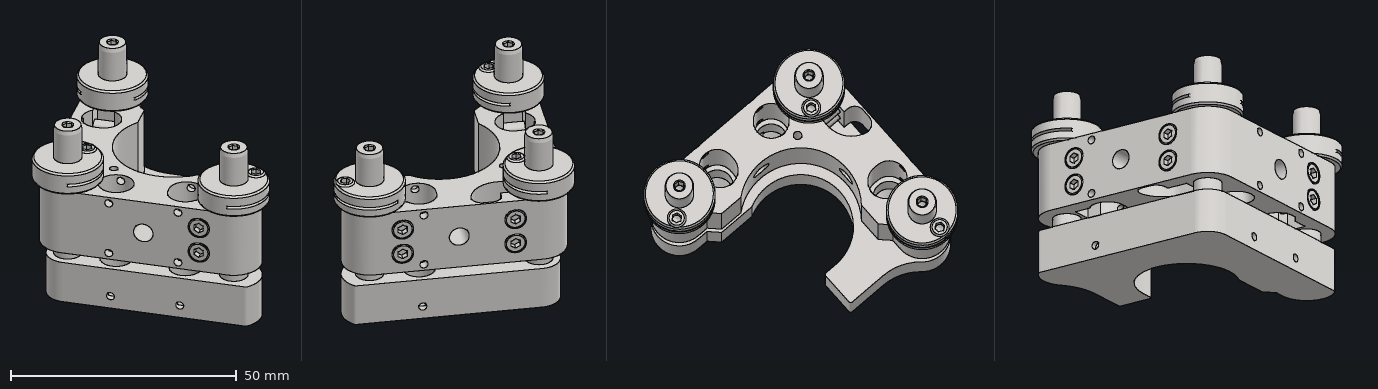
import cadquery as cq
import math

post_pitch = 38.1
mid_leg = post_pitch / 2
corner_post = (0, 0)
x_post = (post_pitch, 0)
y_post = (0, post_pitch)

plate_top = 10.05
block_bottom = 13.4
block_height = 15.75
block_top = block_bottom + block_height
block_mid = block_bottom + block_height / 2
knob_height = 5.25
knob_top = block_top + knob_height
post_top = 42.58

end_radius = 6.35
leg_inner = 8.65
leg_chamfer = leg_inner - end_radius
chamfer_start = 33.2

block_bore_radius = 13.45
spring_hole_radius = 3.97
spring_hole_stretch = 1.0
near_spring = mid_leg - 7.94
far_spring = mid_leg + 7.94
center_hole_dia = 4.45
dowel_hole_dia = 1.85
dowel_position = (8.87, 6.35)

slot_half_width = 2.41
slot_to_post = 4.0
pocket_left = -5.84
pocket_bottom = 9.08
pocket_corner_radius = 2.4
pocket_arc_radius = 6.95

clamp_offset = 6.35
clamp_spread = 3.13
shank_dia = 2.85
shank_overlap = 0.3
head_radius = 2.415
head_chamfer = 0.32
head_hex_flats = 2.1
head_hex_depth = 1.5

pin_dia = 1.8
pin_end = 6.5
block_pin_spread = 6.35
plate_pin_z = 3.08
drill_half_angle = math.radians(59)

plate_offset = 4.83
plate_bore_radius = 11.65
plate_blend = 1.0
arm_top = 39.55
arm_end = 22.35
arm_concave = 12.7
arm_fillet = 0.5
plate_pocket_radius = 3.57
plate_pocket_floor = 2.45

post_radius = 3.175
post_chamfer_height = 1.05
post_chamfer_radial = 0.22
post_hex_flats = 2.0
post_hex_depth = 4.0
post_countersink_dia = 2.6
post_countersink_depth = 0.3
knob_radius = 15.875 / 2
knob_chamfer = 0.42
knob_slit = 0.67
knob_slit_z = block_top + 2.4
knob_slit_reach = 5.0
knob_screw_offset = 5.55
knob_screw_radius = 2.1
knob_screw_chamfer = 0.42
knob_screw_rise = 0.38
knob_screw_hex_flats = 1.95
knob_screw_hex_depth = 1.8
knobs = [(corner_post, 54.0), (x_post, 42.8), (y_post, 93.4)]


def polar(center, radius, degrees):
    angle = math.radians(degrees)
    return (center[0] + radius * math.cos(angle), center[1] + radius * math.sin(angle))


def on_leg(leg, along, across, z):
    """Point given by its distance along a leg, its offset across it and its height."""
    return cq.Vector(along, across, z) if leg == "x" else cq.Vector(across, along, z)


def inward(leg):
    return on_leg(leg, 0, 1, 0)


def cylinder(base, direction, dia, length):
    return cq.Workplane(cq.Solid.makeCylinder(dia / 2, length, base, direction))


def drilled_hole(base, direction, dia, depth):
    """Blind hole with a drill-point end."""
    radius = dia / 2
    tip = radius / math.tan(drill_half_angle)
    end = base + direction * depth
    cone = cq.Solid.makeCone(radius, 0, tip, end, direction)
    return cylinder(base, direction, dia, depth).union(cq.Workplane(cone))


def drilled_hex_socket(x, z, flats, depth):
    """Downward hex socket with a drill-point floor."""
    mouth = cq.Vector(x, 0, z)
    corners = flats / math.cos(math.pi / 6)
    hexagon = cq.Workplane("XY", origin=mouth).polygon(6, corners).extrude(-depth)
    return hexagon.union(drilled_hole(mouth, cq.Vector(0, 0, -1), flats, depth))


def bore_reach(radius):
    """Distance along a leg from the bore center to where the bore meets its inner edge."""
    return math.sqrt(radius ** 2 - (mid_leg - leg_inner) ** 2)


def block_body():
    bore = (mid_leg, mid_leg)
    reach = bore_reach(block_bore_radius)
    return (
        cq.Workplane("XY", origin=(0, 0, block_bottom))
        .moveTo(0, -end_radius)
        .lineTo(post_pitch, -end_radius)
        .threePointArc((post_pitch + end_radius, 0), (post_pitch, end_radius))
        .lineTo(chamfer_start + leg_chamfer, end_radius)
        .lineTo(chamfer_start, leg_inner)
        .lineTo(mid_leg + reach, leg_inner)
        .threePointArc(polar(bore, block_bore_radius, 225), (leg_inner, mid_leg + reach))
        .lineTo(leg_inner, chamfer_start)
        .lineTo(end_radius, chamfer_start + leg_chamfer)
        .lineTo(end_radius, post_pitch)
        .threePointArc((0, post_pitch + end_radius), (-end_radius, post_pitch))
        .lineTo(-end_radius, 0)
        .threePointArc(polar(corner_post, end_radius, 225), (0, -end_radius))
        .close()
        .extrude(block_height)
    )


def spring_hole(leg, along, stretch):
    """Spring hole through the block, stretched toward the inside of the L."""
    base = on_leg(leg, along, 0, block_bottom)
    hole = cylinder(base, cq.Vector(0, 0, 1), 2 * spring_hole_radius, block_height)
    if stretch == 0:
        return hole
    middle = on_leg(leg, along, stretch / 2, block_mid)
    size = on_leg(leg, 2 * spring_hole_radius, stretch, block_height)
    link = cq.Workplane(cq.Solid.makeBox(*size.toTuple(), middle - size / 2))
    return hole.union(link).union(hole.translate(inward(leg) * stretch))


def clamp_slot(leg):
    """Slot from the far spring hole toward the end post."""
    length = post_pitch - slot_to_post - far_spring
    size = on_leg(leg, length, 2 * slot_half_width, block_height)
    corner = on_leg(leg, far_spring, -slot_half_width, block_bottom)
    return cq.Workplane(cq.Solid.makeBox(*size.toTuple(), corner))


def corner_pocket():
    """Bulged pocket in the Y leg whose neck leads to the corner post."""
    arc_center = (slot_half_width - pocket_arc_radius, pocket_bottom)
    corner_x = pocket_left + pocket_corner_radius
    lower = (corner_x, pocket_bottom + pocket_corner_radius)
    upper_x_offset = corner_x - arc_center[0]
    upper_y_offset = math.sqrt((pocket_arc_radius - pocket_corner_radius) ** 2 - upper_x_offset ** 2)
    upper = (corner_x, pocket_bottom + upper_y_offset)
    tangent_angle = math.degrees(math.atan2(upper_y_offset, upper_x_offset))
    return (
        cq.Workplane("XY", origin=(0, 0, block_bottom))
        .moveTo(-slot_half_width, slot_to_post)
        .lineTo(slot_half_width, slot_to_post)
        .lineTo(slot_half_width, pocket_bottom)
        .threePointArc(
            polar(arc_center, pocket_arc_radius, tangent_angle / 2),
            polar(arc_center, pocket_arc_radius, tangent_angle),
        )
        .threePointArc(
            polar(upper, pocket_corner_radius, (tangent_angle + 180) / 2),
            (pocket_left, upper[1]),
        )
        .lineTo(pocket_left, lower[1])
        .threePointArc(polar(lower, pocket_corner_radius, 225), (corner_x, pocket_bottom))
        .lineTo(-slot_half_width, pocket_bottom)
        .close()
        .extrude(block_height)
    )


def clamp_screw_cut(leg, along, z):
    """Chamfer groove around a flush screw head, and its hex socket."""
    face = on_leg(leg, along, -end_radius, z)
    groove = cylinder(face, inward(leg), 2 * head_radius, head_chamfer)
    cone = cq.Solid.makeCone(head_radius - head_chamfer, head_radius, head_chamfer, face, inward(leg))
    plane = cq.Plane(origin=face, xDir=(0, 0, 1), normal=inward(leg))
    hex_corners = head_hex_flats / math.cos(math.pi / 6)
    socket = cq.Workplane(plane).polygon(6, hex_corners).extrude(head_hex_depth)
    return groove.cut(cq.Workplane(cone)).union(socket)


def clamp_shank(leg, along, z):
    """Screw shank crossing the clamp slot."""
    start = on_leg(leg, along, -end_radius + head_hex_depth, z)
    length = end_radius - head_hex_depth + slot_half_width + shank_overlap
    return cylinder(start, inward(leg), shank_dia, length)


def block():
    body = block_body()
    springs = [
        ("x", near_spring, 0),
        ("x", far_spring, spring_hole_stretch),
        ("y", far_spring, spring_hole_stretch),
    ]
    clamps = [("x", post_pitch - clamp_offset), ("y", post_pitch - clamp_offset), ("y", clamp_offset)]
    for leg, along, stretch in springs:
        body = body.cut(spring_hole(leg, along, stretch))
    body = body.cut(corner_pocket())
    for leg in ("x", "y"):
        body = body.cut(clamp_slot(leg))
        center = on_leg(leg, mid_leg, -end_radius, block_mid)
        body = body.cut(cylinder(center, inward(leg), center_hole_dia, mid_leg))
    for leg, along, _ in springs:
        for z in (block_mid - block_pin_spread, block_mid + block_pin_spread):
            start = on_leg(leg, along, -end_radius, z)
            body = body.cut(drilled_hole(start, inward(leg), pin_dia, end_radius + pin_end))
    for leg, along in clamps:
        for z in (block_mid - clamp_spread, block_mid + clamp_spread):
            body = body.union(clamp_shank(leg, along, z))
            body = body.cut(clamp_screw_cut(leg, along, z))
    dowel_base = cq.Vector(*dowel_position, block_bottom)
    dowel = cylinder(dowel_base, cq.Vector(0, 0, 1), dowel_hole_dia, block_height)
    return body.cut(dowel)


def plate_body():
    bore = (mid_leg, mid_leg)
    reach = bore_reach(plate_bore_radius)
    bore_top = mid_leg + plate_bore_radius
    blend_across = plate_blend - plate_offset
    blend_along = post_pitch + math.sqrt((end_radius - plate_blend) ** 2 - blend_across ** 2)
    blend_angle = math.degrees(math.atan2(blend_along - post_pitch, blend_across))
    y_blend = (blend_across, blend_along)
    x_blend = (blend_along, blend_across)
    x_blend_angle = 90 - blend_angle
    sweep_y = arm_top + arm_concave
    sweep_x = math.sqrt((end_radius + arm_concave) ** 2 - (sweep_y - post_pitch) ** 2)
    sweep_angle = math.degrees(math.atan2(sweep_y - post_pitch, sweep_x))
    sweep_middle = (sweep_angle + 180 + 270) / 2
    body = (
        cq.Workplane("XY")
        .moveTo(0, -plate_offset)
        .lineTo(blend_along, -plate_offset)
        .threePointArc(
            polar(x_blend, plate_blend, (x_blend_angle - 90) / 2),
            polar(x_post, end_radius, x_blend_angle),
        )
        .threePointArc((post_pitch + end_radius, 0), (post_pitch, end_radius))
        .lineTo(chamfer_start + leg_chamfer, end_radius)
        .lineTo(chamfer_start, leg_inner)
        .lineTo(mid_leg + reach, leg_inner)
        .threePointArc(polar(bore, plate_bore_radius, 180), (mid_leg, bore_top))
        .lineTo(arm_end, bore_top)
        .lineTo(arm_end, arm_top)
        .lineTo(sweep_x, arm_top)
        .threePointArc(
            polar((sweep_x, sweep_y), arm_concave, sweep_middle),
            polar(y_post, end_radius, sweep_angle),
        )
        .threePointArc((0, post_pitch + end_radius), polar(y_post, end_radius, blend_angle))
        .threePointArc(
            polar(y_blend, plate_blend, (blend_angle + 180) / 2),
            (-plate_offset, blend_along),
        )
        .lineTo(-plate_offset, 0)
        .threePointArc(polar(corner_post, plate_offset, 225), (0, -plate_offset))
        .close()
        .extrude(plate_top)
    )
    arm_end_corners = cq.selectors.BoxSelector(
        (arm_end - arm_fillet, bore_top - arm_fillet, 0),
        (arm_end + arm_fillet, arm_top + arm_fillet, plate_top),
    )
    return body.edges("|Z").edges(arm_end_corners).fillet(arm_fillet)


def plate():
    body = plate_body()
    down = cq.Vector(0, 0, -1)
    for leg, along in (("x", near_spring), ("x", far_spring), ("y", far_spring)):
        pocket_start = on_leg(leg, along, 0, plate_top)
        pin_start = on_leg(leg, along, -plate_offset, plate_pin_z)
        pocket_depth = plate_top - plate_pocket_floor
        body = body.cut(drilled_hole(pocket_start, down, 2 * plate_pocket_radius, pocket_depth))
        body = body.cut(drilled_hole(pin_start, inward(leg), pin_dia, plate_offset + pin_end))
    return body


def post():
    """Adjuster post at the origin, standing on the plate."""
    shaft = (
        cq.Workplane("XY", origin=(0, 0, plate_top))
        .circle(post_radius)
        .extrude(post_top - plate_top)
        .faces(">Z")
        .chamfer(post_chamfer_height, post_chamfer_radial)
    )
    socket = drilled_hex_socket(0, post_top, post_hex_flats, post_hex_depth)
    countersink = cq.Solid.makeCone(
        post_countersink_dia / 2,
        post_hex_flats / 2,
        post_countersink_depth,
        cq.Vector(0, 0, post_top),
        cq.Vector(0, 0, -1),
    )
    return shaft.cut(socket).cut(cq.Workplane(countersink))


def knob():
    """Split clamping collar at the origin, its screw toward +X."""
    collar = (
        cq.Workplane("XY", origin=(0, 0, block_top))
        .circle(knob_radius)
        .extrude(knob_height)
        .faces("<Z or >Z")
        .chamfer(knob_chamfer)
    )
    slit_length = knob_slit_reach + knob_radius
    slit = cq.Workplane("XY").box(slit_length, 2 * knob_radius, knob_slit, centered=(False, True, True))
    collar = collar.cut(slit.translate((-knob_slit_reach, 0, knob_slit_z)))
    head_top = knob_top + knob_screw_rise
    screw_bottom = block_top + knob_chamfer
    screw = (
        cq.Workplane("XY", origin=(knob_screw_offset, 0, screw_bottom))
        .circle(knob_screw_radius)
        .extrude(head_top - screw_bottom)
        .faces(">Z")
        .chamfer(knob_screw_rise, knob_screw_chamfer)
    )
    socket = drilled_hex_socket(knob_screw_offset, head_top, knob_screw_hex_flats, knob_screw_hex_depth)
    return collar.union(screw).cut(socket)


result = plate().union(block())
for position, screw_direction in knobs:
    turned_knob = knob().rotate((0, 0, 0), (0, 0, 1), screw_direction)
    result = result.union(turned_knob.union(post()).translate((*position, 0)))